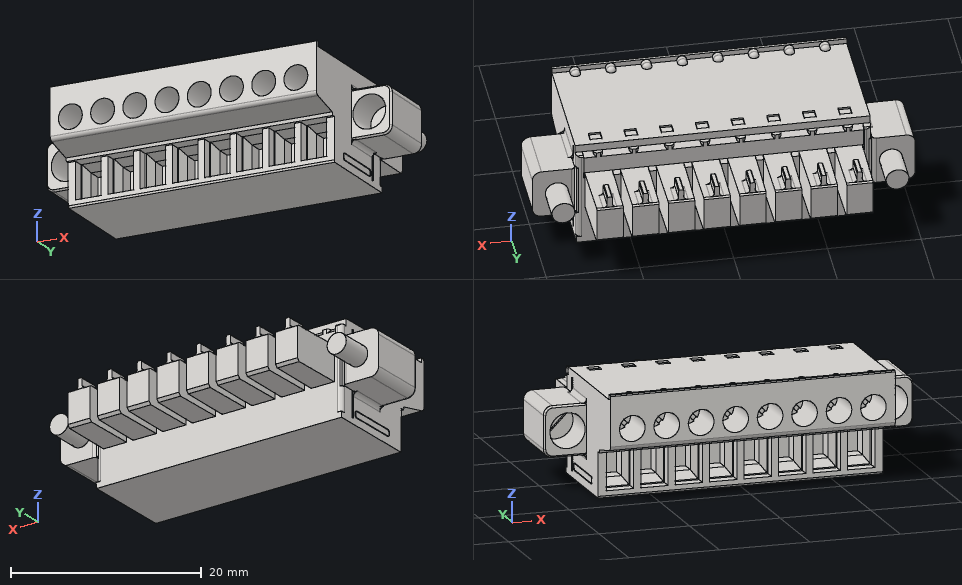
import cadquery as cq
import math


pole_count = 8
pole_span = 26.65
pole_pitch = pole_span / (pole_count - 1)
pole_x = [(i - (pole_count - 1) / 2) * pole_pitch for i in range(pole_count)]

overall_length = 40.85
body_length = 31.45
body_half = body_length / 2
body_rear = 15.1
body_top = 11.75
step_y = 14.22
step_z = 10.87
foot_front = 4.13
foot_draft = 0.1
foot_draft_height = 0.25
nose_bottom = 5.05
nose_step_draft = 0.12
nose_back = 3.65
nose_slope_back_z = 5.45
nose_slope_front_z = 6.3
nose_radius = 0.5
lip_depth = 0.5
lip_height = 0.57
lip_round = 0.12
rear_edge_chamfer = 0.15

rear_recess_half = 14.95
rear_wall_y = 14.7

tower_root_width = 3.0
tower_tip_width = 2.8
tower_bottom = 4.35
tower_top = 8.5
tower_end = 21.7
tower_bottom_chamfer = 0.33
tower_top_chamfer = 0.12
tower_top_chamfer_length = 0.25
key_front = 19.13
key_back = 21.5
key_height = 1.25
key_half = 0.3
key_top_half = 0.2
key_foot_half = 0.75
key_foot_height = 0.3
key_chamfer_height = 0.12

clamp_screw_z = 8.5
clamp_bore_diameter = 2.8
clamp_bore_depth = 4.9
clamp_slot_width = 0.5
entry_width = 3.02
entry_bottom = 0.78
entry_depth = 1.2
entry_ledge = 0.12
funnel_depth = 1.23
throat_width = 1.9
throat_bottom = 1.6
throat_top = 4.45
throat_depth = 1.65

window_width = 1.25
window_front = 12.2
window_back = 13.35
window_depth = 0.2
stud_radius = 0.55

flange_front = 8.1
flange_rear = 15.0
flange_bottom = 3.7
flange_top = 9.35
flange_overlap = 0.4
flange_radius = 1.0
flange_front_chamfer = 0.2
flange_screw_x = 17.8
flange_screw_z = (flange_bottom + flange_top) / 2
flange_bore_diameter = 3.9
flange_bore_depth = 4.1
flange_slot_width = 0.7
thread_diameter = 2.45
thread_end = 18.92
root_fillet = 0.5

gap_front = 12.87
gap_width = 0.12
flange_inner_radius = 0.4
relief_bottom = 0.75
relief_width = 0.15
relief_depth = 0.1
rear_corner_radius = 0.55
groove_front = 6.35
groove_back = 12.45
groove_bottom = 1.0
groove_top = 1.75
groove_chamfer = 0.15
groove_depth = 0.1

slot_depth = 0.33
slot_angle = 45.0


def box(x0, x1, y0, y1, z0, z1):
    """Box between opposite corners."""
    return cq.Workplane("XY").box(x1 - x0, y1 - y0, z1 - z0, centered=False).translate((x0, y0, z0))


def along_y(x, z, diameter, y0, y1):
    """Cylinder parallel to Y from y0 to y1."""
    plane = cq.Plane(origin=(x, y0, z), xDir=(1, 0, 0), normal=(0, 1, 0))
    return cq.Workplane(plane).circle(diameter / 2).extrude(y1 - y0)


def end_to_end(outline, half):
    """Prism of a YZ outline, centred on X = 0."""
    return outline.extrude(half, both=True)


def both_ends(shape):
    """The shape and its mirror image in the YZ plane."""
    return shape.union(shape.mirror("YZ"))


def copies(shape, places):
    """Copies of a shape at several places along X."""
    shifted = [shape.val().moved(cq.Location(cq.Vector(x, 0, 0))) for x in places]
    return cq.Workplane(cq.Compound.makeCompound(shifted))


def slotted_bore(z, diameter, y0, depth, slot_width, angle):
    """Bore toward +Y that ends on a slotted screw head."""
    floor = y0 + depth
    bore = along_y(0, z, diameter, y0, floor)
    slot = box(-diameter / 2, diameter / 2, floor, floor + slot_depth, -slot_width / 2, slot_width / 2)
    slot = slot.rotate((0, 0, 0), (0, 1, 0), angle)
    slot = slot.translate((0, 0, z)).intersect(along_y(0, z, diameter, floor, floor + slot_depth))
    return bore.union(slot)


def housing():
    """Main profile with the front lip and the overhanging nose."""
    outline = (
        cq.Workplane("YZ")
        .moveTo(foot_front + foot_draft, 0)
        .lineTo(body_rear, 0)
        .lineTo(body_rear, step_z - rear_edge_chamfer)
        .lineTo(body_rear - rear_edge_chamfer, step_z)
        .lineTo(step_y, step_z)
        .lineTo(step_y, body_top)
        .lineTo(lip_depth, body_top)
        .lineTo(lip_depth, body_top + lip_height)
        .lineTo(lip_round, body_top + lip_height)
        .lineTo(0, body_top + lip_height - lip_round)
        .lineTo(0, nose_slope_front_z)
        .lineTo(nose_back, nose_slope_back_z)
        .lineTo(nose_back + nose_step_draft, nose_bottom)
        .lineTo(foot_front, nose_bottom)
        .lineTo(foot_front, foot_draft_height)
        .close()
    )
    body = end_to_end(outline, body_half)
    nose_corner = cq.selectors.NearestToPointSelector((0, 0, nose_slope_front_z))
    return body.edges(nose_corner).fillet(nose_radius)


def rear_recess():
    """Bevels that set the rear wall back between the two end walls."""
    bevel = step_z - (rear_wall_y - step_y)
    outline = (
        cq.Workplane("YZ")
        .moveTo(step_y, step_z)
        .lineTo(rear_wall_y, bevel)
        .lineTo(rear_wall_y, tower_top)
        .lineTo(body_rear, tower_top - (body_rear - rear_wall_y))
        .lineTo(body_rear, step_z)
        .close()
    )
    return end_to_end(outline, rear_recess_half)


def tower():
    """Drafted contact tower with its keying rib."""
    side = (
        cq.Workplane("YZ")
        .moveTo(step_y, tower_bottom)
        .lineTo(tower_end - tower_bottom_chamfer, tower_bottom)
        .lineTo(tower_end, tower_bottom + tower_bottom_chamfer)
        .lineTo(tower_end, tower_top - tower_top_chamfer)
        .lineTo(tower_end - tower_top_chamfer_length, tower_top)
        .lineTo(step_y, tower_top)
        .close()
    )
    plan = (
        cq.Workplane("XY")
        .moveTo(-tower_root_width / 2, step_y)
        .lineTo(tower_root_width / 2, step_y)
        .lineTo(tower_tip_width / 2, tower_end)
        .lineTo(-tower_tip_width / 2, tower_end)
        .close()
        .extrude(tower_top)
    )
    arm = end_to_end(side, tower_root_width).intersect(plan)
    foot_reach = key_foot_half - key_half
    foot_radius = (foot_reach**2 + key_foot_height**2) / (2 * key_foot_height)
    plane = cq.Plane(origin=(0, key_back, tower_top), xDir=(1, 0, 0), normal=(0, -1, 0))
    key = (
        cq.Workplane(plane)
        .moveTo(-key_foot_half, 0)
        .radiusArc((-key_half, key_foot_height), -foot_radius)
        .lineTo(-key_half, key_height - key_chamfer_height)
        .lineTo(-key_top_half, key_height)
        .lineTo(key_top_half, key_height)
        .lineTo(key_half, key_height - key_chamfer_height)
        .lineTo(key_half, key_foot_height)
        .radiusArc((key_foot_half, 0), -foot_radius)
        .close()
        .extrude(key_back - key_front)
    )
    return arm.union(key)


def wire_entry():
    """Rectangular opening that narrows through a funnel to the clamp throat."""
    funnel_start = foot_front + entry_depth
    funnel_end = funnel_start + funnel_depth
    funnel_width = entry_width - 2 * entry_ledge
    funnel_bottom = entry_bottom + entry_ledge
    funnel_height = nose_bottom - funnel_bottom
    throat_height = throat_top - throat_bottom
    funnel_z = funnel_bottom + funnel_height / 2
    throat_z = throat_bottom + throat_height / 2
    mouth = box(-entry_width / 2, entry_width / 2, foot_front, funnel_start, entry_bottom, nose_bottom)
    funnel = (
        cq.Workplane(cq.Plane(origin=(0, funnel_start, funnel_z), xDir=(1, 0, 0), normal=(0, 1, 0)))
        .rect(funnel_width, funnel_height)
        .workplane(offset=funnel_depth)
        .center(0, funnel_z - throat_z)
        .rect(throat_width, throat_height)
        .loft(ruled=True)
    )
    throat = box(
        -throat_width / 2, throat_width / 2,
        funnel_end, funnel_end + throat_depth,
        throat_bottom, throat_top,
    )
    return mouth.union(funnel).union(throat)


def window():
    """Shallow rectangular mark in the top face."""
    return box(
        -window_width / 2, window_width / 2,
        window_front, window_back,
        body_top - window_depth, body_top,
    )


def front_stud():
    """Half-round stud on the top that leaves the lip and ends in a dome."""
    dome_y = lip_depth + stud_radius
    barrel = along_y(0, body_top, 2 * stud_radius, lip_depth, dome_y)
    return barrel.union(cq.Workplane("XY").sphere(stud_radius).translate((0, dome_y, body_top)))


def rear_stud():
    """Half-round rib standing on the bevel behind the step, cut off at the rear wall."""
    height = step_z - tower_top
    rib = cq.Workplane("XY").circle(stud_radius).extrude(height)
    reach = box(-stud_radius, stud_radius, 0, rear_wall_y - step_y, 0, height)
    return rib.intersect(reach).translate((0, step_y, tower_top))


def flange():
    """Right-hand screw flange with its root fillets."""
    outer = overall_length / 2
    lug = box(body_half, outer, flange_front, flange_rear, flange_bottom, flange_top)
    lug = lug.edges("|Y and >X").fillet(flange_radius)
    arc_offset = root_fillet * (1 - math.sqrt(0.5))
    root = (
        cq.Workplane(cq.Plane(origin=(body_half, flange_front, 0), xDir=(1, 0, 0), normal=(0, 1, 0)))
        .moveTo(0, -flange_top)
        .lineTo(root_fillet, -flange_top)
        .threePointArc((arc_offset, -flange_top - arc_offset), (0, -flange_top - root_fillet))
        .close()
        .extrude(gap_front - flange_front)
    )
    roots = root.union(root.mirror("XY", (0, 0, flange_screw_z)))
    lug = lug.faces("<Y").edges("not <X").chamfer(flange_front_chamfer)
    inner = box(body_half - flange_overlap, body_half, flange_front, flange_rear, flange_bottom, flange_top)
    thread = along_y(flange_screw_x, flange_screw_z, thread_diameter, flange_rear, thread_end)
    return lug.union(inner).union(roots).union(thread)


def flange_gap():
    """Gap beside the right-hand end wall that frees the rear of the flange."""
    gap = box(body_half, body_half + gap_width, gap_front, flange_rear, flange_bottom, flange_top)
    corner = box(
        body_half + gap_width, body_half + gap_width + flange_inner_radius,
        flange_rear - flange_inner_radius, flange_rear,
        flange_bottom, flange_top,
    )
    rounded = (
        cq.Workplane("XY")
        .workplane(offset=flange_bottom)
        .center(body_half + gap_width + flange_inner_radius, flange_rear - flange_inner_radius)
        .circle(flange_inner_radius)
        .extrude(flange_top - flange_bottom)
    )
    return gap.union(corner.cut(rounded))


def relief_groove():
    """Narrow upright groove in the right-hand end wall, at the end of the gap."""
    return box(
        body_half - relief_depth, body_half,
        gap_front, gap_front + relief_width,
        relief_bottom, step_z,
    )


def rear_corner():
    """Material outside the rounded rear corner of the right-hand end wall."""
    centre_x = body_half - rear_corner_radius
    centre_y = body_rear - rear_corner_radius
    corner = box(centre_x, body_half, centre_y, body_rear, relief_bottom, step_z)
    rounded = (
        cq.Workplane("XY")
        .workplane(offset=relief_bottom)
        .center(centre_x, centre_y)
        .circle(rear_corner_radius)
        .extrude(step_z - relief_bottom)
    )
    return corner.cut(rounded)


def end_groove():
    """Long shallow groove low in the right-hand end wall."""
    groove = box(
        body_half - groove_depth, body_half,
        groove_front, groove_back,
        groove_bottom, groove_top,
    )
    return groove.edges("|X").chamfer(groove_chamfer)


body = housing().cut(rear_recess())
for recess in (rear_corner(), relief_groove(), end_groove()):
    body = body.cut(both_ends(recess))
body = body.union(both_ends(flange().cut(flange_gap())))

for addition in (tower(), front_stud(), rear_stud()):
    body = body.union(copies(addition, pole_x))

clamp_bore = slotted_bore(
    clamp_screw_z, clamp_bore_diameter,
    0, clamp_bore_depth,
    clamp_slot_width, slot_angle,
)
for pocket in (window(), wire_entry(), clamp_bore):
    body = body.cut(copies(pocket, pole_x))

flange_bore = slotted_bore(
    flange_screw_z, flange_bore_diameter,
    flange_front, flange_bore_depth,
    flange_slot_width, -slot_angle,
)
result = body.cut(copies(flange_bore, (-flange_screw_x, flange_screw_x)))